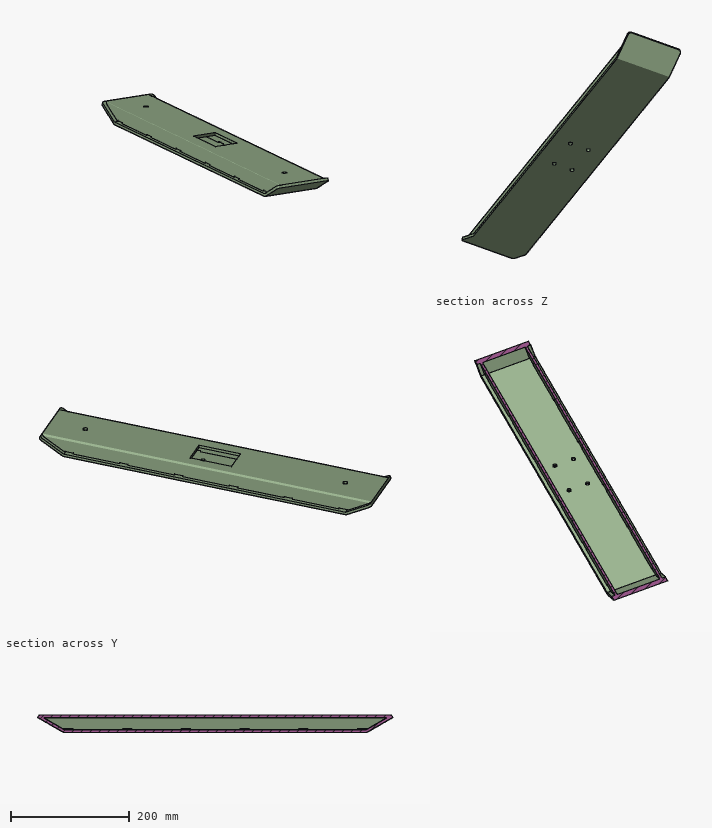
import math

import cadquery as cq

SHEET_THICKNESS = 5.0

LENGTH = 600.0
WIDTH = 100.0
HEIGHT = 30.0
END_SLOPE = math.radians(30)
BEND_RADIUS = 6.0
TIP_CORNER_RADIUS = 5.0

COVER_WIDTH = 88.0
COVER_RADIUS = 5.0

WINDOW_LENGTH = 75.0
WINDOW_WIDTH = 42.0
TRAY_HOLE_DIAMETER = 6.5
TRAY_HOLE_SPACING_X = 57.5
TRAY_HOLE_SPACING_Y = 34.0

COVER_HOLE_DIAMETER = 8.0
COVER_HOLE_X = 234.5

NOTCH_COUNT = 6
NOTCH_PITCH = 99.0
NOTCH_LENGTH = 15.0
NOTCH_HEIGHT = 2.0

TIP_LOW_X = LENGTH / 2
TIP_LOW_Z = HEIGHT - SHEET_THICKNESS * math.cos(END_SLOPE)
TIP_HIGH_X = TIP_LOW_X - SHEET_THICKNESS * math.sin(END_SLOPE)
OUTER_BEND_X = TIP_LOW_X - TIP_LOW_Z / math.tan(END_SLOPE)
INNER_BEND_X = OUTER_BEND_X - SHEET_THICKNESS * math.tan(END_SLOPE / 2)


def extrude_across(points, width):
    """Extrude an XZ outline to a width centred on Y = 0."""
    return cq.Workplane("XZ").polyline(points).close().extrude(width / 2, both=True)


def fillet_edge_near(body, point, radius):
    """Round the edge whose centre lies nearest to the point."""
    return body.edges(cq.selectors.NearestToPointSelector(point)).fillet(radius)


def make_tray():
    tray = extrude_across(
        [
            (-OUTER_BEND_X, 0),
            (OUTER_BEND_X, 0),
            (TIP_LOW_X, TIP_LOW_Z),
            (TIP_HIGH_X, HEIGHT),
            (INNER_BEND_X, SHEET_THICKNESS),
            (-INNER_BEND_X, SHEET_THICKNESS),
            (-TIP_HIGH_X, HEIGHT),
            (-TIP_LOW_X, TIP_LOW_Z),
        ],
        WIDTH,
    )
    tip_x = (TIP_LOW_X + TIP_HIGH_X) / 2
    tip_z = (TIP_LOW_Z + HEIGHT) / 2
    for end in (-1, 1):
        tray = fillet_edge_near(tray, (end * OUTER_BEND_X, 0, 0), BEND_RADIUS)
        for side in (-1, 1):
            tip_corner = (end * tip_x, side * WIDTH / 2, tip_z)
            tray = fillet_edge_near(tray, tip_corner, TIP_CORNER_RADIUS)
    holes = (
        cq.Workplane("XY")
        .rect(TRAY_HOLE_SPACING_X, TRAY_HOLE_SPACING_Y, forConstruction=True)
        .vertices()
        .circle(TRAY_HOLE_DIAMETER / 2)
        .extrude(SHEET_THICKNESS)
    )
    return tray.cut(holes)


def floor_bar(width, top):
    """Full-length bar from the tray floor up to the given height."""
    floor = cq.Workplane("XY").workplane(offset=SHEET_THICKNESS)
    return floor.rect(LENGTH, width).extrude(top - SHEET_THICKNESS)


def make_cover():
    outer = floor_bar(COVER_WIDTH, HEIGHT).edges("|X and >Z").fillet(COVER_RADIUS)
    inner = floor_bar(COVER_WIDTH - 2 * SHEET_THICKNESS, HEIGHT - SHEET_THICKNESS)
    tray_space = extrude_across(
        [
            (-INNER_BEND_X, SHEET_THICKNESS),
            (INNER_BEND_X, SHEET_THICKNESS),
            (TIP_HIGH_X, HEIGHT),
            (-TIP_HIGH_X, HEIGHT),
        ],
        WIDTH,
    )
    return outer.cut(inner).intersect(tray_space)


def cover_openings():
    """Window and round holes through the roof, and notches through the side walls."""
    roof = cq.Workplane("XY").workplane(offset=HEIGHT - SHEET_THICKNESS)
    window = roof.rect(WINDOW_LENGTH, WINDOW_WIDTH).extrude(SHEET_THICKNESS)
    end_holes = (
        roof.pushPoints([(-COVER_HOLE_X, 0), (COVER_HOLE_X, 0)])
        .circle(COVER_HOLE_DIAMETER / 2)
        .extrude(SHEET_THICKNESS)
    )
    first_notch_x = -NOTCH_PITCH * (NOTCH_COUNT - 1) / 2
    notches = (
        cq.Workplane("XY")
        .workplane(offset=SHEET_THICKNESS)
        .pushPoints([(first_notch_x + i * NOTCH_PITCH, 0) for i in range(NOTCH_COUNT)])
        .rect(NOTCH_LENGTH, COVER_WIDTH)
        .extrude(NOTCH_HEIGHT)
    )
    return window, end_holes, notches


cover = make_cover()
for opening in cover_openings():
    cover = cover.cut(opening)

result = make_tray().union(cover).solids()